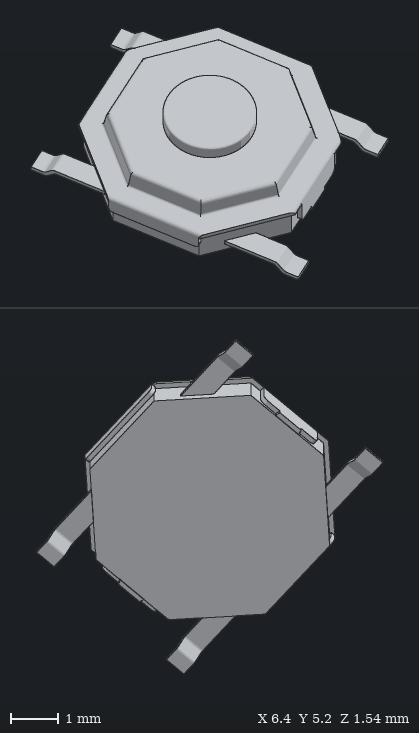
import cadquery as cq
import math

lead_span = 6.4
cover_width = 5.2
total_height = 1.54

sheet = 0.11
bend_radius = 0.1

cover_top = 0.86
dome_top = 1.24
cover_underside = cover_top - sheet

skirt_bottom = 0.45
flap_width = 1.52
flap_bottom = 0.12
flap_corner_radius = 0.15
tab_root_width = 0.665
tab_face_width = 0.6
tab_bottom = 0.02

dome_base_width = 4.19
dome_top_width = 4.045
dome_fillet = 0.095
dome_root_fillet = 0.05

button_diameter = 2.0
button_fillet = 0.05

lead_width = 0.5
lead_spacing = 3.68
lead_top = 0.315
foot_length = 0.32
lead_inner_end = 1.28

tolerance = 0.0005
body_width = cover_width - 2 * sheet


def octagon(width, z):
    """Regular octagon, flats square to X and Y, given by its width across flats."""
    across_corners = width / math.cos(math.pi / 8)
    return (
        cq.Workplane("XY", origin=(0, 0, z))
        .transformed(rotate=(0, 0, 22.5))
        .polygon(8, across_corners)
    )


def box_between(x_size, y_size, z_low, z_high):
    """Box centred on the Z axis."""
    return (
        cq.Workplane("XY", origin=(0, 0, z_low))
        .rect(x_size, y_size)
        .extrude(z_high - z_low)
    )


def make_tabs():
    """Small latching tabs below the flaps, narrowing from the body to their outer faces."""
    outer_x = cover_width / 2
    root_x = body_width / 2
    face_y = tab_face_width / 2
    root_y = tab_root_width / 2
    tab = (
        cq.Workplane("XY", origin=(0, 0, tab_bottom))
        .moveTo(0, -root_y)
        .lineTo(root_x, -root_y)
        .lineTo(outer_x, -face_y)
        .lineTo(outer_x, face_y)
        .lineTo(root_x, root_y)
        .lineTo(0, root_y)
        .close()
        .extrude(flap_bottom - tab_bottom)
    )
    return tab.union(tab.mirror("YZ"))


def make_cover():
    """Octagonal plate with rounded bends, two skirts and two latching flaps."""
    block = octagon(cover_width, 0).extrude(cover_top)
    block = block.faces(">Z").edges("|X or |Y").fillet(bend_radius)

    flat_length = cover_width * math.tan(math.pi / 8)
    skirts = box_between(flat_length, cover_width, skirt_bottom, cover_top)
    skirts = skirts.edges("|Y and <Z").fillet(bend_radius)
    skirts = skirts.cut(box_between(body_width, body_width, 0, cover_underside))
    flaps = box_between(cover_width, flap_width, flap_bottom, cover_top)
    flaps = flaps.edges("|X and <Z").fillet(flap_corner_radius)
    plate = box_between(cover_width, cover_width, cover_underside, cover_top)
    return block.intersect(plate.union(skirts).union(flaps).union(make_tabs()))


def make_dome():
    """Tapered octagonal dome with a rounded top edge."""
    dome_height = dome_top - cover_top
    taper = math.degrees(math.atan2((dome_base_width - dome_top_width) / 2, dome_height))
    dome = octagon(dome_base_width, cover_top).extrude(dome_height, taper=taper)
    return dome.faces(">Z").edges().fillet(dome_fillet)


def is_dome_root(edge):
    """True for the edges where the dome wall meets the top of the cover plate."""
    middle = edge.Center()
    on_plate = abs(middle.z - cover_top) < tolerance
    return on_plate and math.hypot(middle.x, middle.y) < dome_base_width / 2 + tolerance


def make_button():
    """Round plunger with a rounded rim."""
    button = (
        cq.Workplane("XY", origin=(0, 0, dome_top))
        .circle(button_diameter / 2)
        .extrude(total_height - dome_top)
    )
    return button.faces(">Z").edges().fillet(button_fillet)


def make_lead():
    """Lead on the +X, +Y corner: flat shank, 45 degree drop and foot."""
    tip = lead_span / 2
    foot_bend = tip - foot_length
    shank_bend = foot_bend - (lead_top - sheet)
    mitre = sheet * math.tan(math.pi / 8)
    lead = (
        cq.Workplane("XZ", origin=(0, (lead_spacing + lead_width) / 2, 0))
        .moveTo(lead_inner_end, lead_top)
        .lineTo(shank_bend, lead_top)
        .lineTo(foot_bend, sheet)
        .lineTo(tip, sheet)
        .lineTo(tip, 0)
        .lineTo(foot_bend - mitre, 0)
        .lineTo(shank_bend - mitre, lead_top - sheet)
        .lineTo(lead_inner_end, lead_top - sheet)
        .close()
        .extrude(lead_width)
    )
    bends = cq.selectors.BoxSelector(
        (shank_bend - sheet, 0, -sheet),
        (foot_bend + sheet, lead_span, lead_top + sheet),
    )
    return lead.edges("|Y").edges(bends).fillet(bend_radius)


body = octagon(body_width, 0).extrude(cover_underside)
lead = make_lead()
lead_pair = lead.union(lead.mirror("YZ"))

housing = body.union(make_cover()).union(make_dome())
housing = housing.edges().filter(is_dome_root).fillet(dome_root_fillet)

result = housing.union(make_button())
result = result.union(lead_pair).union(lead_pair.mirror("XZ"))